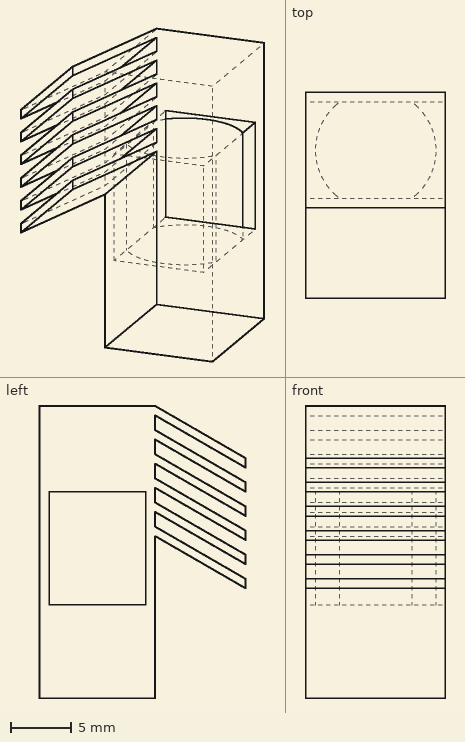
import cadquery as cq
import math

width = 11.6
total_depth = 17.1
height = 24.25
fin_reach = 7.5
block_depth = total_depth - fin_reach

fin_count = 6
fin_thickness = 0.8
fin_pitch = 2.5 * fin_thickness
fin_angle = 30.0
fin_drop = fin_reach * math.tan(math.radians(fin_angle))

window_width = 8.0
window_height = 9.36
window_bottom = 7.79
window_y = block_depth / 2
drum_radius = 5.0
drum_x = width / 2


def make_fin(top):
    """Fin whose upper edge meets the block at height `top`."""
    return (
        cq.Workplane("YZ")
        .moveTo(0, top)
        .lineTo(-fin_reach, top - fin_drop)
        .lineTo(-fin_reach, top - fin_drop - fin_thickness)
        .lineTo(0, top - fin_thickness)
        .close()
        .extrude(width)
    )


def make_window():
    """Rectangular space that passes through the block along X."""
    return cq.Workplane("XY").box(
        width, window_width, window_height, centered=(False, True, False)
    ).translate((0, window_y, window_bottom))


def make_housing():
    """Block with a through window and a stack of fins."""
    housing = cq.Workplane("XY").box(width, block_depth, height, centered=False)
    housing = housing.cut(make_window())
    for index in range(fin_count):
        housing = housing.union(make_fin(height - index * fin_pitch))
    return housing


def make_drum():
    """Upright drum with two flats that fit the sides of the window."""
    round_drum = (
        cq.Workplane("XY", origin=(drum_x, window_y, window_bottom))
        .circle(drum_radius)
        .extrude(window_height)
    )
    return round_drum.intersect(make_window())


housing = make_housing()
drum = make_drum()
result = cq.Compound.makeCompound([housing.val(), drum.val()])